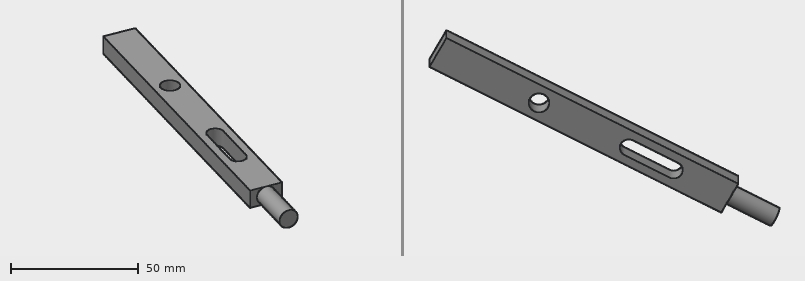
import cadquery as cq

bar_length = 130.0
bar_width = 14.0
bar_height = 8.0

pin_length = 20.0
pin_diameter = bar_height

hole_diameter = 8.0
hole_x = 45.0

slot_length = 27.0
slot_width = 7.0
slot_x = 95.0


def make_bar():
    """Bar starting at X = 0, centred on the X axis."""
    return cq.Workplane("XY").box(bar_length, bar_width, bar_height, centered=(False, True, True))


def make_pin():
    """Pin along the bar axis, starting at the bar's end face."""
    return cq.Workplane("YZ", origin=(bar_length, 0, 0)).circle(pin_diameter / 2).extrude(pin_length)


def bottom_plane_at(x):
    """Workplane on the bar's bottom face, on its centre line at the given X."""
    return cq.Workplane("XY", origin=(x, 0, -bar_height / 2))


def make_hole():
    """Cutter for the round hole through the bar's full height."""
    return bottom_plane_at(hole_x).circle(hole_diameter / 2).extrude(bar_height)


def make_slot():
    """Cutter for the slot through the bar's full height."""
    return bottom_plane_at(slot_x).slot2D(slot_length, slot_width).extrude(bar_height)


result = make_bar().union(make_pin()).cut(make_hole()).cut(make_slot())